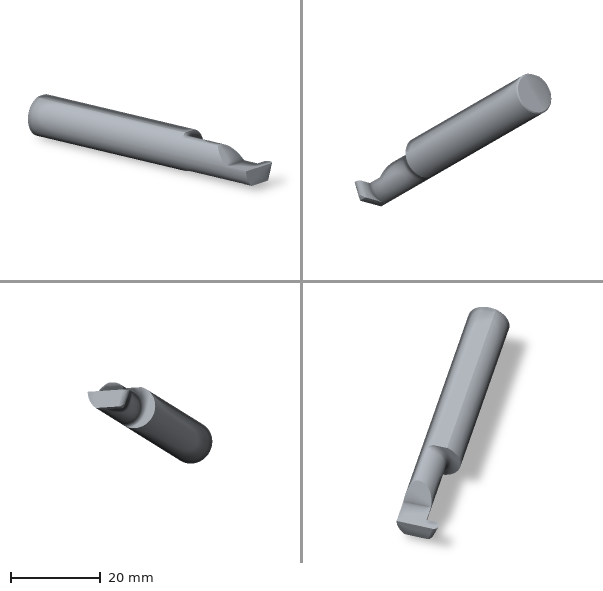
import cadquery as cq
import math

LENGTH = 63.5
SHANK_RADIUS = 4.75
SHANK_LENGTH = 43.1
FLAT_WIDTH = 3.25
END_CHAMFER = 0.25

NECK_RADIUS = 3.8
NECK_SIDE_Y = 1.65
NECK_CENTER_Y = NECK_SIDE_Y - NECK_RADIUS
NECK_FILLET = 0.75

HEAD_START_X = 57.4
END_SETBACK = 0.25

NIB_WIDTH = 2.2
NIB_RADIUS = NIB_WIDTH / 2
NOSE_CENTER_Y = SHANK_RADIUS - NIB_RADIUS
NIB_CLEARANCE_ANGLE = 20.0


def make_bar():
    """Full-length bar with its rear chamfer and top flat."""
    bar = cq.Workplane("YZ").circle(SHANK_RADIUS).extrude(LENGTH)
    bar = bar.faces("<X").chamfer(END_CHAMFER)
    flat_z = math.sqrt(SHANK_RADIUS**2 - (FLAT_WIDTH / 2) ** 2)
    above_flat = cq.Workplane("XY", origin=(LENGTH / 2, 0, flat_z)).box(
        LENGTH, 2 * SHANK_RADIUS, SHANK_RADIUS, centered=(True, True, False)
    )
    return bar.cut(above_flat)


def make_neck_envelope():
    """Region kept around the neck, with a concave fillet at the shank shoulder."""
    neck_end = LENGTH - SHANK_LENGTH
    blend_radius = NECK_RADIUS + NECK_FILLET
    arc_offset = NECK_FILLET * math.sqrt(0.5)
    profile = (
        cq.Workplane("XY", origin=(SHANK_LENGTH, NECK_CENTER_Y, 0))
        .lineTo(0, blend_radius)
        .threePointArc(
            (NECK_FILLET - arc_offset, blend_radius - arc_offset),
            (NECK_FILLET, NECK_RADIUS),
        )
        .lineTo(neck_end, NECK_RADIUS)
        .lineTo(neck_end, 0)
        .close()
    )
    neck = profile.revolve(360, (0, 0, 0), (1, 0, 0))
    shank = cq.Workplane("YZ").circle(2 * SHANK_RADIUS).extrude(SHANK_LENGTH)
    return shank.union(neck)


def make_head_cut():
    """Material removed above the head, including the 45 degree ramp."""
    return (
        cq.Workplane("XZ")
        .moveTo(HEAD_START_X, 0)
        .lineTo(LENGTH, 0)
        .lineTo(LENGTH, SHANK_RADIUS)
        .lineTo(HEAD_START_X - SHANK_RADIUS, SHANK_RADIUS)
        .close()
        .extrude(SHANK_RADIUS, both=True)
    )


def make_nib():
    """Round-nosed finger whose nose leans back below the cutting face."""
    depth = NECK_RADIUS
    lean = depth * math.tan(math.radians(NIB_CLEARANCE_ANGLE))

    def outline(plane, shift):
        return (
            plane.moveTo(LENGTH - NIB_WIDTH, NECK_CENTER_Y - shift)
            .lineTo(LENGTH - NIB_WIDTH, NOSE_CENTER_Y - shift)
            .threePointArc(
                (LENGTH - NIB_RADIUS, SHANK_RADIUS - shift),
                (LENGTH, NOSE_CENTER_Y - shift),
            )
            .lineTo(LENGTH, NECK_CENTER_Y - shift)
            .close()
        )

    top_outline = outline(cq.Workplane("XY"), 0)
    nib = outline(top_outline.workplane(offset=-depth), lean).loft(ruled=True)
    bar = cq.Workplane("YZ").circle(SHANK_RADIUS).extrude(LENGTH)
    return nib.intersect(bar)


def make_end_relief():
    """Thin wedge that sets the front end back towards -Y."""
    return (
        cq.Workplane("XY")
        .moveTo(LENGTH, NOSE_CENTER_Y)
        .lineTo(LENGTH, -SHANK_RADIUS)
        .lineTo(LENGTH - END_SETBACK, -SHANK_RADIUS)
        .close()
        .extrude(SHANK_RADIUS, both=True)
    )


body = make_bar().intersect(make_neck_envelope()).cut(make_head_cut())
result = body.union(make_nib()).cut(make_end_relief())